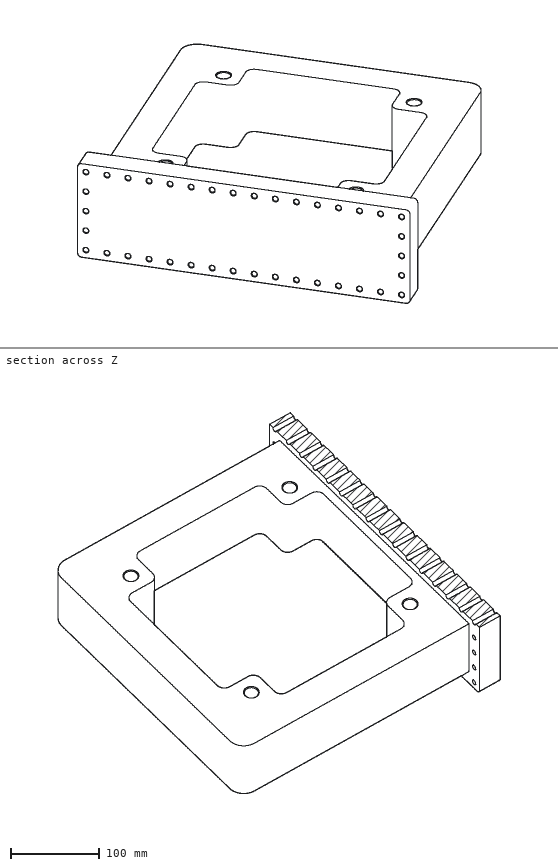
import cadquery as cq
import math

FLANGE_WIDTH = 395.0
FLANGE_THICKNESS = 30.0
FLANGE_HEIGHT = 120.0
FLANGE_CORNER_RADIUS = 5.0

BOLT_PITCH = 25.0
BOLT_COLUMNS = 16
BOLT_ROWS = 5
BOLT_HOLE_DIAMETER = 6.0
BOLT_HOLE_CHAMFER = 0.6

FRAME_SIDE = 356.0
FRAME_HEIGHT = 80.0
FRAME_CORNER_RADIUS = 20.0

OPENING_LENGTH = 275.0
OPENING_ARM_WIDTH = 182.5
OPENING_CORNER_RADIUS = 10.0

MOUNT_CIRCLE_DIAMETER = 320.0
MOUNT_SPACING = MOUNT_CIRCLE_DIAMETER / math.sqrt(2)
MOUNT_HOLE_DIAMETER = 16.0
MOUNT_HOLE_CHAMFER = 1.0

FLANGE_FRONT_Y = -FRAME_SIDE / 2
FLANGE_BACK_Y = FLANGE_FRONT_Y + FLANGE_THICKNESS


def make_frame():
    """Square block from the back of the flange, with rounded rear corners."""
    depth = FRAME_SIDE - FLANGE_THICKNESS
    return (
        cq.Workplane("XY")
        .box(FRAME_SIDE, depth, FRAME_HEIGHT)
        .translate((0, FLANGE_BACK_Y + depth / 2, 0))
        .edges("|Z and >Y")
        .fillet(FRAME_CORNER_RADIUS)
    )


def make_flange():
    """Plate with rounded corners, centred on the frame height."""
    return (
        cq.Workplane("XY")
        .box(FLANGE_WIDTH, FLANGE_THICKNESS, FLANGE_HEIGHT)
        .translate((0, FLANGE_FRONT_Y + FLANGE_THICKNESS / 2, 0))
        .edges("|Y")
        .fillet(FLANGE_CORNER_RADIUS)
    )


def make_opening():
    """Cross-shaped cutter with every inner and outer corner rounded."""
    along_x = cq.Workplane("XY").box(OPENING_LENGTH, OPENING_ARM_WIDTH, FRAME_HEIGHT)
    along_y = cq.Workplane("XY").box(OPENING_ARM_WIDTH, OPENING_LENGTH, FRAME_HEIGHT)
    return along_x.union(along_y).edges("|Z").fillet(OPENING_CORNER_RADIUS)


def hole_cutter(diameter, depth, chamfer):
    """Cutter running down from the origin, flared at its mouth into a 45 degree chamfer."""
    radius = diameter / 2
    return (
        cq.Workplane("XZ")
        .lineTo(radius + chamfer, 0)
        .lineTo(radius, -chamfer)
        .lineTo(radius, -depth)
        .lineTo(0, -depth)
        .close()
        .revolve(360, (0, 0, 0), (0, 1, 0))
        .val()
    )


def make_mount_holes():
    """Cutters for the vertical holes through the corner lugs, chamfered at the top."""
    cutter = hole_cutter(MOUNT_HOLE_DIAMETER, FRAME_HEIGHT, MOUNT_HOLE_CHAMFER)
    return (
        cq.Workplane("XY", origin=(0, 0, FRAME_HEIGHT / 2))
        .rect(MOUNT_SPACING, MOUNT_SPACING, forConstruction=True)
        .vertices()
        .eachpoint(cutter, useLocalCoordinates=True)
    )


def bolt_positions():
    """Rim positions (x, z) of a rectangular grid centred on the flange."""
    last_column = BOLT_COLUMNS - 1
    last_row = BOLT_ROWS - 1
    return [
        ((column - last_column / 2) * BOLT_PITCH, (row - last_row / 2) * BOLT_PITCH)
        for column in range(BOLT_COLUMNS)
        for row in range(BOLT_ROWS)
        if column in (0, last_column) or row in (0, last_row)
    ]


def make_bolt_holes():
    """Cutters for the holes through the flange, chamfered at its front face."""
    cutter = hole_cutter(BOLT_HOLE_DIAMETER, FLANGE_THICKNESS, BOLT_HOLE_CHAMFER)
    return (
        cq.Workplane("XZ", origin=(0, FLANGE_FRONT_Y, 0))
        .pushPoints(bolt_positions())
        .eachpoint(cutter, useLocalCoordinates=True)
    )


result = (
    make_frame()
    .union(make_flange())
    .cut(make_opening())
    .cut(make_mount_holes())
    .cut(make_bolt_holes())
)